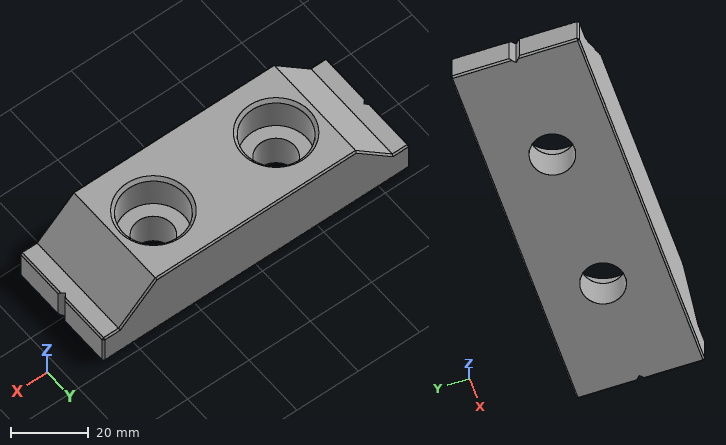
import cadquery as cq
import math

LENGTH = 100.0
WIDTH = 35.0
HEIGHT = 22.0
EDGE_CHAMFER = 0.5

FOOT_LENGTH = 5.35
FOOT_HEIGHT = 10.0
RAMP_RUN = HEIGHT - FOOT_HEIGHT

HOLE_SPACING = 40.0
HOLE_DIAMETER = 12.0
COUNTERBORE_DIAMETER = 20.0
COUNTERBORE_DEPTH = 11.0
COUNTERBORE_CHAMFER = 1.0
COUNTERBORE_CHAMFER_ANGLE = 45.0

NOTCH_SIDE = 2.0
NOTCH_DEPTH = NOTCH_SIDE / math.sqrt(2)


def make_body():
    """Raised block with ramped ends, with chamfered long-side and end-face edges."""
    half_length = LENGTH / 2
    ramp_foot = half_length - FOOT_LENGTH
    ramp_top = ramp_foot - RAMP_RUN
    profile = [
        (-half_length, 0),
        (half_length, 0),
        (half_length, FOOT_HEIGHT),
        (ramp_foot, FOOT_HEIGHT),
        (ramp_top, HEIGHT),
        (-ramp_top, HEIGHT),
        (-ramp_foot, FOOT_HEIGHT),
        (-half_length, FOOT_HEIGHT),
    ]
    body = cq.Workplane("XZ").polyline(profile).close().extrude(WIDTH / 2, both=True)
    return body.faces("<X or >X or <Y or >Y").edges().chamfer(EDGE_CHAMFER)


def cut_bolt_hole(body, x):
    """Through hole with a counterbore whose rim is chamfered."""
    top = cq.Workplane("XY", origin=(x, 0, HEIGHT))
    hole = top.circle(HOLE_DIAMETER / 2).extrude(-HEIGHT)
    counterbore = top.circle(COUNTERBORE_DIAMETER / 2).extrude(-COUNTERBORE_DEPTH)
    rim_radius = COUNTERBORE_DIAMETER / 2 + COUNTERBORE_CHAMFER
    rim = top.circle(rim_radius).extrude(-COUNTERBORE_CHAMFER, taper=COUNTERBORE_CHAMFER_ANGLE)
    return body.cut(hole).cut(counterbore).cut(rim)


def cut_end_notch(body, x):
    """Vertical V-notch on the centreline of the end face at x."""
    notch = (
        cq.Workplane("XY", origin=(x, 0, 0))
        .polyline([(-NOTCH_DEPTH, 0), (0, -NOTCH_DEPTH), (NOTCH_DEPTH, 0), (0, NOTCH_DEPTH)])
        .close()
        .extrude(FOOT_HEIGHT)
    )
    return body.cut(notch)


result = make_body()
for side in (-1, 1):
    result = cut_bolt_hole(result, side * HOLE_SPACING / 2)
    result = cut_end_notch(result, side * LENGTH / 2)